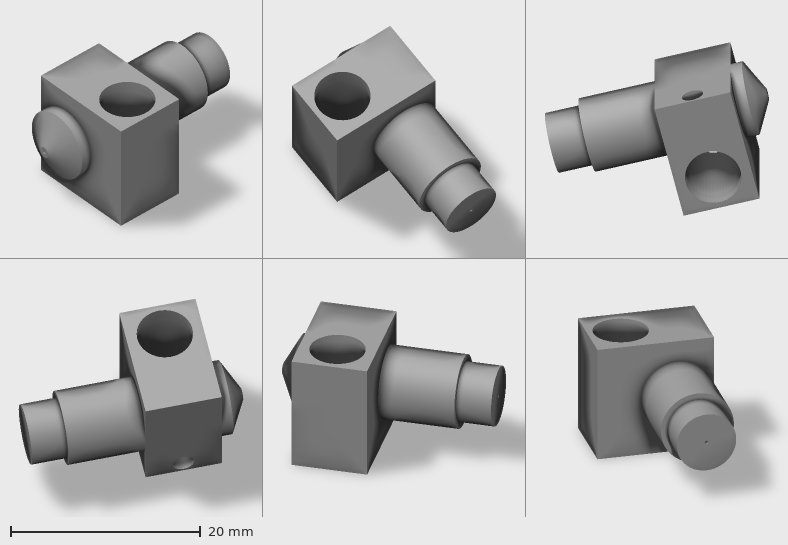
import cadquery as cq

block_side = 12.7
block_depth = 8.23

barrel_diameter = 7.95
barrel_length = 8.27
neck_diameter = 6.47
neck_length = 3.8
collar_length = 1.26
tip_diameter = 1.29
orifice_diameter = 0.4
total_length = 23.37
cone_length = total_length - neck_length - barrel_length - block_depth - collar_length
axis_x = barrel_diameter / 2
axis_z = block_side / 2

heater_diameter = 5.94
heater_x = 9.1
sensor_diameter = 2.3
sensor_z = 1.4
sensor_depth = 3.5

collar_front = cone_length
block_front = collar_front + collar_length
block_back = block_front + block_depth
barrel_back = block_back + barrel_length
block_middle_y = block_front + block_depth / 2


def make_block():
    return cq.Workplane("XY").box(
        block_side, block_depth, block_side, centered=False
    ).translate((0, block_front, 0))


def make_nozzle_and_barrel():
    """Revolve the stepped half profile about the nozzle axis."""
    profile = [
        (0, 0),
        (tip_diameter / 2, 0),
        (barrel_diameter / 2, collar_front),
        (barrel_diameter / 2, barrel_back),
        (neck_diameter / 2, barrel_back),
        (neck_diameter / 2, total_length),
        (0, total_length),
    ]
    turned = cq.Workplane("XY").polyline(profile).close().revolve(360, (0, 0), (0, 1))
    return turned.translate((axis_x, 0, axis_z))


def make_hole(diameter, depth, start, direction):
    return cq.Workplane(
        cq.Solid.makeCylinder(diameter / 2, depth, cq.Vector(*start), cq.Vector(*direction))
    )


orifice = make_hole(orifice_diameter, total_length, (axis_x, 0, axis_z), (0, 1, 0))
heater_bore = make_hole(heater_diameter, block_side, (heater_x, block_middle_y, 0), (0, 0, 1))
sensor_hole = make_hole(sensor_diameter, sensor_depth, (0, block_middle_y, sensor_z), (1, 0, 0))

result = make_block().union(make_nozzle_and_barrel())
result = result.cut(orifice).cut(heater_bore).cut(sensor_hole)